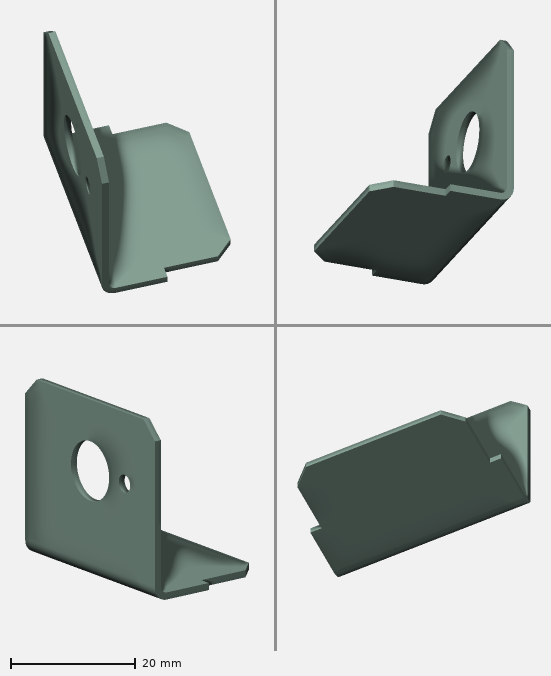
import cadquery as cq

width = 34.0
depth = 23.0
height = 30.0

thickness = 1.2
inner_bend_radius = 1.2
outer_bend_radius = inner_bend_radius + thickness

corner_cut = 3.0
tongue_length = 12.0
tongue_inset = 2.0

hole_height = 18.0
large_hole_diameter = 10.0
small_hole_diameter = 3.0
small_hole_offset = 9.0


def bent_sheet():
    """L-shaped sheet, centred on X, with its wall at Y = 0 and its base at Z = 0."""
    return (
        cq.Workplane("YZ")
        .rect(depth, height, centered=False)
        .extrude(width / 2, both=True)
        .edges("|X and <Y and <Z")
        .fillet(outer_bend_radius)
        .cut(inner_space())
    )


def inner_space():
    """Volume enclosed between the wall and the base, rounded at the bend."""
    return (
        cq.Workplane("YZ")
        .moveTo(thickness, thickness)
        .rect(depth, height, centered=False)
        .extrude(width / 2, both=True)
        .edges("|X and <Y and <Z")
        .fillet(inner_bend_radius)
    )


def wall_outline():
    """Full-depth block with the top corners of the wall cut off."""
    return (
        cq.Workplane("XY")
        .box(width, depth, height, centered=(True, False, False))
        .edges("|Y and >Z")
        .chamfer(corner_cut)
    )


def base_outline():
    """Full-height block in plan: wide front and a narrower tongue with cut corners."""
    wide_part = cq.Workplane("XY").box(
        width, depth - tongue_length, height, centered=(True, False, False)
    )
    tongue = (
        cq.Workplane("XY")
        .box(width - 2 * tongue_inset, depth, height, centered=(True, False, False))
        .edges("|Z and >Y")
        .chamfer(corner_cut)
    )
    return wide_part.union(tongue)


def wall_hole(x, diameter):
    """Cylinder along Y that pierces the wall at the common hole height."""
    return (
        cq.Workplane("XZ")
        .center(x, hole_height)
        .circle(diameter / 2)
        .extrude(-depth)
    )


result = (
    bent_sheet()
    .intersect(wall_outline())
    .intersect(base_outline())
    .cut(wall_hole(0, large_hole_diameter))
    .cut(wall_hole(small_hole_offset, small_hole_diameter))
)